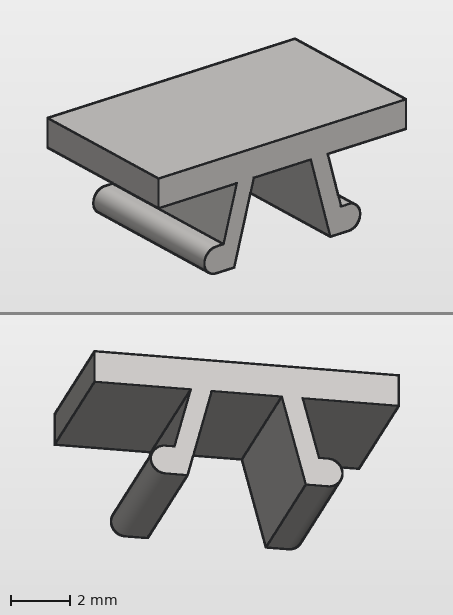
import cadquery as cq
import math

width = 6.15
length = 10.5
height = 4.2
plate_thickness = 1.1

leg_inner_root = 1.21
leg_thickness = 0.72
leg_lean = math.radians(15)
foot_height = 1.0
foot_reach = 3.31

plate_bottom = height - plate_thickness
foot_radius = foot_height / 2
foot_center = foot_reach - foot_radius


def leg_inner_face(z):
    """Distance from the mid-plane to the leg's inner face at height z."""
    return leg_inner_root + (plate_bottom - z) * math.tan(leg_lean)


def make_leg():
    """Leaning leg on the +Y side with a round-tipped foot pointing outward."""
    return (
        cq.Workplane("YZ")
        .moveTo(leg_inner_root, plate_bottom)
        .lineTo(leg_inner_face(0), 0)
        .lineTo(foot_center, 0)
        .threePointArc((foot_reach, foot_radius), (foot_center, foot_height))
        .lineTo(leg_inner_face(foot_height) + leg_thickness, foot_height)
        .lineTo(leg_inner_root + leg_thickness, plate_bottom)
        .close()
        .extrude(width / 2, both=True)
    )


plate = (
    cq.Workplane("XY")
    .workplane(offset=plate_bottom)
    .rect(width, length)
    .extrude(plate_thickness)
)
leg = make_leg()
result = plate.union(leg).union(leg.mirror("XZ"))